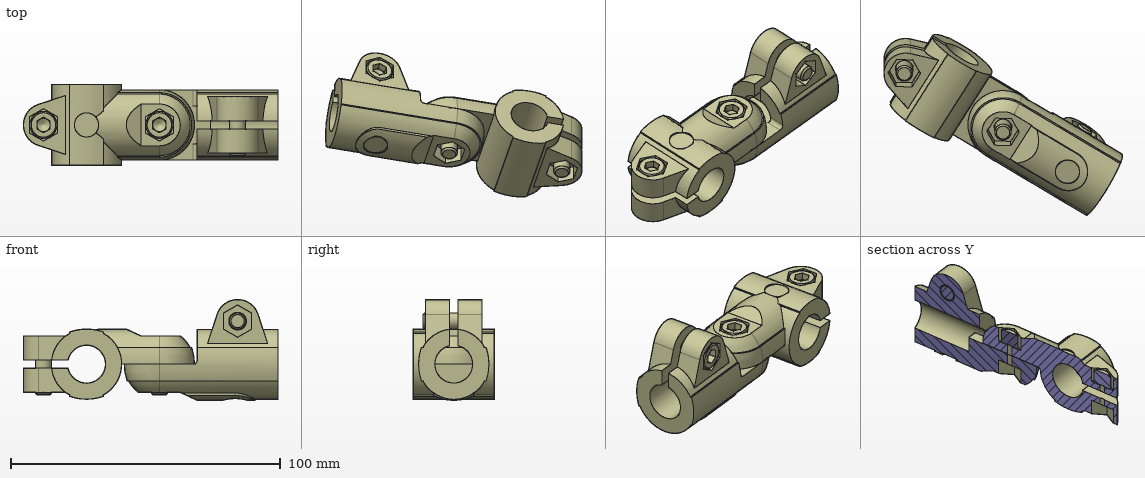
import cadquery as cq
import math


outer_radius = 13.0
band_radius = 18.9
band_half_width = 6.2
bore_diameter = 14.0
tube_length = 30.0

tube_gap = 14.0
cross_tube_x = -(tube_gap + outer_radius)
inline_tube_start = tube_gap
inline_tube_end = inline_tube_start + tube_length
inline_tube_x = inline_tube_start + tube_length / 2
inline_bore_depth = 25.0
corner_fillet = 1.5

flat_height = 10.5
cross_flat_length = 6.8
inline_flat_length = 7.7
ramp_angle = 25.0
ramp_run = 9.4

lug_tip_radius = 8.0
lug_taper = 18.0
lug_root = 7.6
slot_width = 3.0
cross_lug_reach = 23.4
inline_lug_reach = 24.0
lug_screw_offset = 16.0

pad_x = 28.1
pad_half_width = 7.5
pad_height = 13.4
pad_crown_radius = 16.5
recess_diameter = 9.0
recess_floor = 12.5

shank_diameter = 6.0
shank_length = 15.9
tip_chamfer_width = 0.6
tip_chamfer_length = 0.8
head_diameter = 10.0
head_height = 6.0
head_chamfer = 0.5
socket_corners = 5.8
socket_depth = 2.8
drill_point_depth = 1.4
hole_diameter = 6.5
hex_pocket_corners = 12.0
hex_pocket_depth = head_height

band_edge = outer_radius - band_radius + math.sqrt(band_radius**2 - band_half_width**2)
circle_edge = math.sqrt(outer_radius**2 - band_half_width**2)

block = 113.4


def tube(plane, length):
    """Solid bar of the clamp section, its bands on the plane's +x and -x sides."""
    return (
        cq.Workplane(plane)
        .moveTo(band_edge, -band_half_width)
        .threePointArc((outer_radius, 0), (band_edge, band_half_width))
        .lineTo(circle_edge, band_half_width)
        .threePointArc((0, outer_radius), (-circle_edge, band_half_width))
        .lineTo(-band_edge, band_half_width)
        .threePointArc((-outer_radius, 0), (-band_edge, -band_half_width))
        .lineTo(-circle_edge, -band_half_width)
        .threePointArc((0, -outer_radius), (circle_edge, -band_half_width))
        .close()
        .extrude(length)
    )


def inline_tube(start, length):
    """Bar of the clamp section along +X, bands on the Y sides."""
    return tube(cq.Plane((start, 0, 0), xDir=(0, 1, 0), normal=(1, 0, 0)), length)


def half_space(side):
    """Block filling everything above (side = 1) or below (side = -1) the plane z = 0."""
    return cq.Workplane().box(block, block, block).translate((0, 0, side * block / 2))


def swivel_head():
    """Rounded +X end of an upper arm: half the clamp section swept half a turn about the pivot axis."""
    crown = outer_radius * math.sqrt(0.5)
    return (
        cq.Workplane("YZ")
        .lineTo(outer_radius, 0)
        .radiusArc((band_edge, band_half_width), -band_radius)
        .lineTo(circle_edge, band_half_width)
        .threePointArc((crown, crown), (0, outer_radius))
        .close()
        .revolve(180, (0, 0), (0, -1))
    )


def head_relief(flat_length):
    """Cutter for the upper flat of a swivel head whose arm runs toward -X."""
    ramp_rise = ramp_run * math.tan(math.radians(ramp_angle))
    return (
        cq.Workplane("XZ")
        .moveTo(outer_radius + ramp_run, flat_height)
        .lineTo(-flat_length, flat_height)
        .lineTo(-flat_length - ramp_run, flat_height + ramp_rise)
        .lineTo(outer_radius + ramp_run, flat_height + ramp_rise)
        .close()
        .extrude(outer_radius, both=True)
    )


def lug(reach):
    """Tapered round-tipped lug along +Y from a tube axis at the origin, thickness along Z."""
    taper = math.radians(lug_taper)
    tip_center = reach - lug_tip_radius
    tangent_x = lug_tip_radius * math.cos(taper)
    tangent_y = tip_center + lug_tip_radius * math.sin(taper)
    root_half_width = tangent_x + (tangent_y - lug_root) * math.tan(taper)
    return (
        cq.Workplane("XY")
        .moveTo(-root_half_width, lug_root)
        .lineTo(root_half_width, lug_root)
        .lineTo(tangent_x, tangent_y)
        .threePointArc((0, reach), (-tangent_x, tangent_y))
        .close()
        .extrude(flat_height, both=True)
    )


def hexagon(corners, z):
    """Hexagon on the plane at height z, with corners on the +Y and -Y sides."""
    return cq.Workplane("XY", origin=(0, 0, z)).transformed(rotate=(0, 0, 90)).polygon(6, corners)


def screw_cavity():
    """Through hole along Z with a hexagonal pocket at both ends."""
    hole = cq.Workplane("XY").circle(hole_diameter / 2).extrude(flat_height, both=True)
    head_pocket = hexagon(hex_pocket_corners, flat_height - hex_pocket_depth).extrude(hex_pocket_depth)
    nut_pocket = hexagon(hex_pocket_corners, -flat_height).extrude(hex_pocket_depth)
    return hole.union(head_pocket).union(nut_pocket)


def screw():
    """Socket-head screw along Z, its head flush with the upper flat."""
    seat = flat_height - head_height
    head = (
        cq.Workplane("XY", origin=(0, 0, seat))
        .circle(head_diameter / 2)
        .extrude(head_height)
        .faces(">Z")
        .chamfer(head_chamfer)
    )
    shank = (
        cq.Workplane("XY", origin=(0, 0, seat))
        .circle(shank_diameter / 2)
        .extrude(-shank_length)
        .faces("<Z")
        .chamfer(tip_chamfer_length, tip_chamfer_width)
    )
    socket_floor = flat_height - socket_depth
    socket = hexagon(socket_corners, socket_floor).extrude(socket_depth)
    inner_radius = socket_corners / 2 * math.cos(math.radians(30))
    drill_point = (
        cq.Workplane("XZ", origin=(0, 0, socket_floor))
        .lineTo(inner_radius, 0)
        .lineTo(0, -drill_point_depth)
        .close()
        .revolve(360, (0, 0), (0, 1))
    )
    return head.union(shank).cut(socket).cut(drill_point)


def at_cross_lug(body):
    return body.translate((cross_tube_x - lug_screw_offset, 0, 0))


def at_inline_lug(body):
    """Turn +Z toward +Y and move to the screw axis of the in-line lug."""
    return body.rotate((0, 0, 0), (1, 0, 0), -90).translate((inline_tube_x, 0, lug_screw_offset))


def recess(x):
    """Round shallow recess cut from above the clamp."""
    return (
        cq.Workplane("XY", origin=(x, 0, recess_floor))
        .circle(recess_diameter / 2)
        .extrude(outer_radius)
    )


def cross_clamp():
    """Clamp with its tube along Y; its arm lies above z = 0."""
    tube_plane = cq.Plane((cross_tube_x, -tube_length / 2, 0), xDir=(0, 0, 1), normal=(0, 1, 0))
    arm = inline_tube(cross_tube_x, -cross_tube_x).intersect(half_space(1))
    arm = arm.union(swivel_head()).cut(head_relief(cross_flat_length))
    cross_lug = lug(cross_lug_reach).rotate((0, 0, 0), (0, 0, 1), 90).translate((cross_tube_x, 0, 0))
    bore = (
        cq.Workplane("XZ", origin=(cross_tube_x, 0, 0))
        .circle(bore_diameter / 2)
        .extrude(tube_length, both=True)
    )
    slot = (
        cq.Workplane()
        .box(cross_lug_reach, tube_length, slot_width)
        .translate((cross_tube_x - cross_lug_reach / 2, 0, 0))
    )
    body = tube(tube_plane, tube_length).union(arm).union(cross_lug)
    body = body.cut(bore).cut(slot).cut(recess(cross_tube_x))
    return body.cut(screw_cavity()).cut(at_cross_lug(screw_cavity()))


def pad():
    """Crowned pad on the underside of the in-line clamp, with a round end toward +X."""
    crown_edge = pad_height - pad_crown_radius + math.sqrt(pad_crown_radius**2 - pad_half_width**2)
    crowned_bar = (
        cq.Workplane("YZ")
        .moveTo(-pad_half_width, -flat_height)
        .lineTo(pad_half_width, -flat_height)
        .lineTo(pad_half_width, -crown_edge)
        .threePointArc((0, -pad_height), (-pad_half_width, -crown_edge))
        .close()
        .extrude(pad_x + pad_half_width)
    )
    outline = (
        cq.Workplane("XY")
        .moveTo(0, -pad_half_width)
        .lineTo(pad_x, -pad_half_width)
        .threePointArc((pad_x + pad_half_width, 0), (pad_x, pad_half_width))
        .lineTo(0, pad_half_width)
        .close()
        .extrude(-pad_height)
    )
    return crowned_bar.intersect(outline)


def half_turn(body):
    """Turn a body about the Y axis so that an upper arm toward -X becomes a lower one toward +X."""
    return body.rotate((0, 0, 0), (0, 1, 0), 180)


def inline_bore(depth):
    """Bore of the in-line clamp, cut from its open end."""
    return cq.Workplane("YZ", origin=(inline_tube_end, 0, 0)).circle(bore_diameter / 2).extrude(-depth)


def corner_fill():
    """Concave fillet between the arm's mating face and the end face of the in-line tube."""
    strip = (
        cq.Workplane("XZ", origin=(inline_tube_start, 0, 0))
        .lineTo(-corner_fillet, 0)
        .radiusArc((0, corner_fillet), -corner_fillet)
        .close()
        .extrude(outer_radius, both=True)
    )
    return strip.intersect(inline_tube(0, inline_tube_end))


def inline_clamp():
    """Clamp with its tube along X; its arm lies below z = 0."""
    arm = inline_tube(0, inline_tube_end).intersect(half_space(-1))
    arm = arm.union(half_turn(swivel_head())).union(pad()).cut(half_turn(head_relief(inline_flat_length)))
    upper_tube = inline_tube(inline_tube_start, tube_length).intersect(half_space(1))
    inline_lug = lug(inline_lug_reach).rotate((0, 0, 0), (1, 0, 0), 90).translate((inline_tube_x, 0, 0))
    end_bore = inline_bore(inline_bore_depth)
    upper_bore = inline_bore(tube_length + corner_fillet).intersect(half_space(1))
    slot = (
        cq.Workplane()
        .box(tube_length, slot_width, inline_lug_reach)
        .translate((inline_tube_x, 0, inline_lug_reach / 2))
    )
    body = arm.union(upper_tube).union(corner_fill()).union(inline_lug)
    body = body.cut(end_bore).cut(upper_bore).cut(slot).cut(half_turn(recess(-pad_x)))
    return body.cut(screw_cavity()).cut(at_inline_lug(screw_cavity()))


cross_body = cross_clamp()
inline_body = inline_clamp()
screws = [screw(), at_cross_lug(screw()), at_inline_lug(screw())]

result = cq.Compound.makeCompound(
    [cross_body.val(), inline_body.val(), *[fastener.val() for fastener in screws]]
)